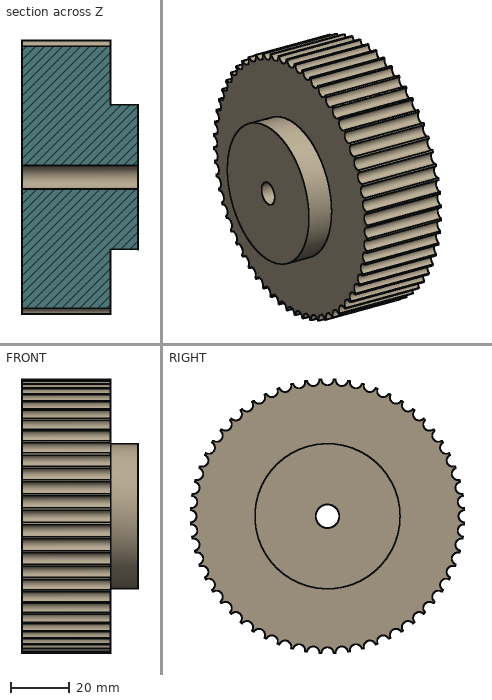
import cadquery as cq

tooth_count = 60
tip_diameter = 94.4
groove_radius = 2.1
total_length = 40.0
rim_width = 30.5
hub_diameter = 50.0
bore_diameter = 8.0

tip_radius = tip_diameter / 2

rim = cq.Workplane("YZ").circle(tip_radius).extrude(rim_width)
hub = cq.Workplane("YZ").circle(hub_diameter / 2).extrude(total_length)

grooves = (
    cq.Workplane("YZ")
    .polarArray(tip_radius, 0, 360, tooth_count)
    .circle(groove_radius)
    .extrude(rim_width)
)

bore = cq.Workplane("YZ").circle(bore_diameter / 2).extrude(total_length)

result = rim.cut(grooves).union(hub).cut(bore)